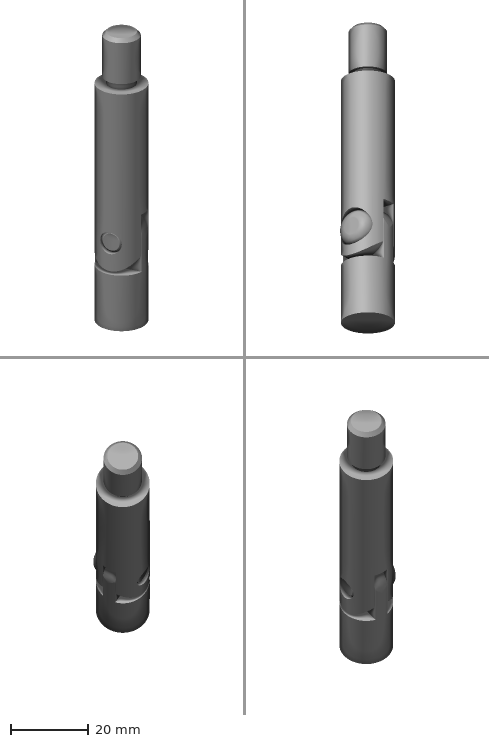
import cadquery as cq

body_radius = 7.0
pin_axis_z = 25.0

base_height = 16.0
tongue_thickness = 3.8
tongue_tip_radius = body_radius

fork_tip_radius = 8.0
slot_width = 4.2
slot_top_z = 32.5
shoulder_z = 68.2

neck_radius = 4.0
neck_height = 2.0
stud_radius = 5.0
stud_top_z = 83.0
stud_chamfer = 1.0

shank_radius = 3.1
shank_end_y = -6.2
shank_chamfer = 0.7
head_radius = 5.1
head_seat_y = 4.0
head_face_y = 7.08
head_rounding = 2.75


def cylinder_along_y(radius, y_start, y_end):
    """Solid cylinder on the pin axis between two Y positions."""
    return (
        cq.Workplane("XZ", origin=(0, y_start, pin_axis_z))
        .circle(radius)
        .extrude(y_start - y_end)
    )


def rounded_end(tip_radius, z_far):
    """Envelope of an arm that is round about the pin axis and straight from there to z_far."""
    height = abs(z_far - pin_axis_z)
    straight = cq.Workplane("XY").box(2 * tip_radius, 2 * body_radius, height)
    straight = straight.translate((0, 0, (z_far + pin_axis_z) / 2))
    return straight.union(cylinder_along_y(tip_radius, -body_radius, body_radius))


def make_tongue_rod():
    """Lower rod: round base carrying a flat tongue with a rounded tip."""
    base = cq.Workplane("XY").circle(body_radius).extrude(base_height)
    tongue_top_z = pin_axis_z + tongue_tip_radius
    bar = cq.Workplane("XY").circle(body_radius).extrude(tongue_top_z)
    plate = cq.Workplane("XY").box(
        2 * body_radius, tongue_thickness, tongue_top_z, centered=(True, True, False)
    )
    tongue = bar.intersect(plate).intersect(rounded_end(tongue_tip_radius, 0))
    pin_hole = cylinder_along_y(shank_radius, -body_radius, body_radius)
    return base.union(tongue).cut(pin_hole)


def make_stud():
    """Chamfered stud standing on a narrower neck."""
    neck = cq.Workplane("XY", origin=(0, 0, shoulder_z)).circle(neck_radius).extrude(neck_height)
    stud_base_z = shoulder_z + neck_height
    stud = (
        cq.Workplane("XY", origin=(0, 0, stud_base_z))
        .circle(stud_radius)
        .extrude(stud_top_z - stud_base_z)
        .faces(">Z")
        .chamfer(stud_chamfer)
    )
    return neck.union(stud)


def make_fork_rod():
    """Upper rod: round bar with a slotted, rounded lower end and a stud on top."""
    fork_tip_z = pin_axis_z - fork_tip_radius
    bar = (
        cq.Workplane("XY", origin=(0, 0, fork_tip_z))
        .circle(body_radius)
        .extrude(shoulder_z - fork_tip_z)
        .intersect(rounded_end(fork_tip_radius, shoulder_z))
    )
    slot = cq.Workplane("XY").box(
        2 * body_radius, slot_width, slot_top_z, centered=(True, True, False)
    )
    pin_hole = cylinder_along_y(shank_radius, -body_radius, body_radius)
    head_recess = cylinder_along_y(head_radius, head_seat_y, body_radius)
    return bar.cut(slot).cut(pin_hole).cut(head_recess).union(make_stud())


def make_pin():
    """Pin with a chamfered shank end and a large round-edged head."""
    shank = cylinder_along_y(shank_radius, shank_end_y, head_seat_y)
    shank = shank.faces("<Y").chamfer(shank_chamfer)
    head = cylinder_along_y(head_radius, head_seat_y, head_face_y)
    head = head.faces(">Y").edges().fillet(head_rounding)
    return shank.union(head)


tongue_rod = make_tongue_rod()
fork_rod = make_fork_rod()
pin = make_pin()

result = cq.Compound.makeCompound([tongue_rod.val(), fork_rod.val(), pin.val()])